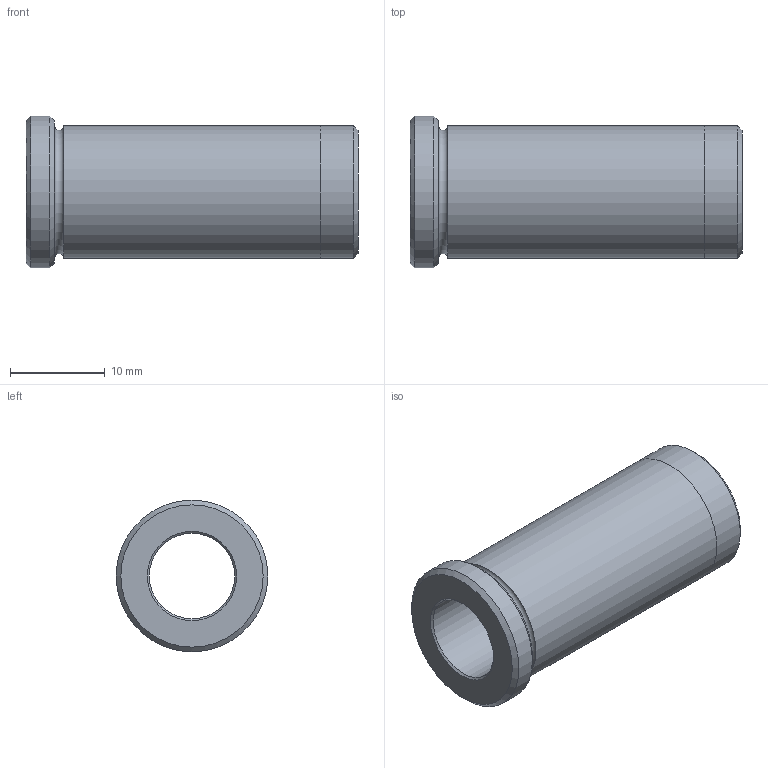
import cadquery as cq

total_length = 35.0
head_diameter = 16.0
head_thickness = 3.0
body_diameter = 14.0
bore_diameter = 9.0
outer_chamfer = 0.5
bore_chamfer = 0.2
groove_width = 1.0
lead_in_length = 4.0

head_radius = head_diameter / 2
body_radius = body_diameter / 2
bore_radius = bore_diameter / 2
groove_radius = groove_width / 2
groove_end = head_thickness + groove_width
groove_middle = head_thickness + groove_radius
lead_in_start = total_length - lead_in_length


def make_bushing():
    """Revolve the half section, drawn as (axial position, radius), about X."""
    half_section = (
        cq.Workplane("XY")
        .moveTo(bore_chamfer, bore_radius)
        .lineTo(0, bore_radius + bore_chamfer)
        .lineTo(0, head_radius - outer_chamfer)
        .lineTo(outer_chamfer, head_radius)
        .lineTo(head_thickness - outer_chamfer, head_radius)
        .lineTo(head_thickness, head_radius - outer_chamfer)
        .lineTo(head_thickness, body_radius)
        .threePointArc((groove_middle, body_radius - groove_radius), (groove_end, body_radius))
        .lineTo(lead_in_start, body_radius)
        .lineTo(total_length - outer_chamfer, body_radius)
        .lineTo(total_length, body_radius - outer_chamfer)
        .lineTo(total_length, bore_radius)
        .close()
    )
    return half_section.revolve(360, (0, 0, 0), (1, 0, 0), clean=False)


result = make_bushing()